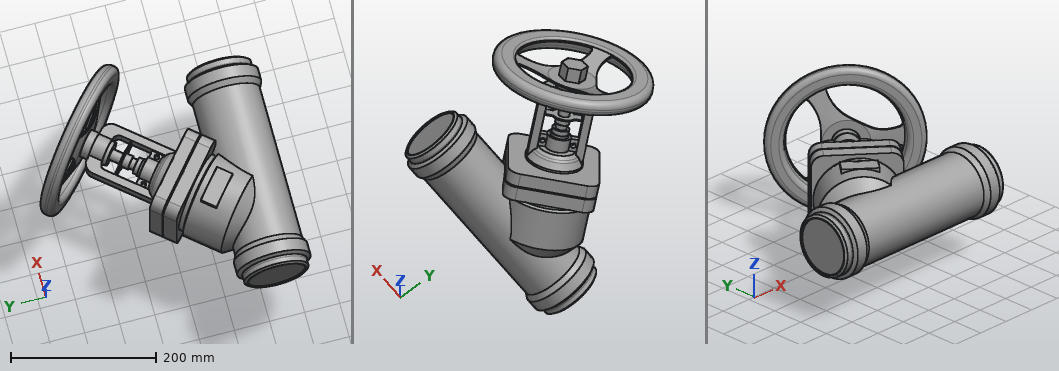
import cadquery as cq
import math


pipe_length = 310.0
inlet_distance = 82.0
pipe_radius = 47.9
collar_radius = 52.5
spigot_radius = 45.9
spigot_shoulder_radius = 46.5
weld_bevel_radius = 42.2
weld_bevel_length = 2.5
spigot_length = 10.0
shoulder_end = 12.5
collar_start = 16.0
collar_end = 33.6
collar_taper_end = 42.3
bore_radius = 41.0
bore_depth = 2.0

bonnet_angle = 50.0
housing_radius = 62.5
housing_bottom = 32.0
housing_cone_half_angle = 40.0
housing_top = 90.0
neck_radius = 57.0
neck_bottom = 92.0

flange_width = 128.0
flange_corner_radius = 17.0
lower_flange_bottom = 99.0
lower_flange_top = 119.0
upper_flange_bottom = 121.0
upper_flange_top = 140.0
gasket_radius = 55.0

pad_width = 53.0
pad_bottom = 56.0
pad_top = 80.0
pad_height = 63.3

dome_base_radius = 40.5
dome_base_top = 143.0
dome_shoulder_radius = 34.3
dome_shoulder_height = 153.0
dome_crown_radius = 31.5
dome_crown_height = 156.0
dome_top_radius = 26.5
dome_top = 160.0
packing_radius = 17.0
packing_top = 179.0
gland_flange_radius = 13.0
gland_flange_top = 183.0
gland_radius = 12.0
gland_top = 190.0
stem_radius = 8.0
stem_collar_radius = 10.0
stem_collar_bottom = 198.0
indicator_bottom = 208.5
indicator_top = 210.5
indicator_length = 51.0
indicator_width = 16.0
indicator_disc_radius = 17.0

yoke_width = 77.0
yoke_thickness = 20.0
yoke_top = 254.0
yoke_corner_radius = 15.0
window_width = 54.0
window_top = 234.0
window_corner_radius = 9.0
web_plate_thickness = 10.0
web_plate_top = 178.5
web_hole_diameter = 7.0
web_hole_offset = 21.7
web_hole_height = 168.7

bush_nose_radius = 17.6
bush_nose_bottom = 228.0
bush_bottom = 234.0
bush_radius = 19.6
bush_collar_radius = 20.2

rim_radius = 112.5
rim_inner_radius = 82.3
rim_bottom = 265.5
rim_top = 286.8
rim_lower_outer_round = 8.0
rim_upper_outer_round = 10.0
rim_lower_inner_round = 8.0
rim_lower_inner_radius = 85.2
rim_upper_inner_round = 4.0
wheel_hub_radius = 34.0
wheel_hub_bottom = 266.0
wheel_nut_diameter = 37.0
wheel_nut_top = 289.0
web_outer_radius = 88.0
web_outer_bottom = 282.0
web_thickness = 2.5
spoke_count = 3
spoke_waist_half_width = 12.8
spoke_edge_arc_radius = 61.0
opening_distance = 34.5
opening_corner_radius = 5.0


def disc(radius, bottom, top):
    return cq.Workplane("XY").workplane(offset=bottom).circle(radius).extrude(top - bottom)


def square_flange(bottom, top):
    plate = cq.Workplane("XY").workplane(offset=bottom).rect(flange_width, flange_width).extrude(top - bottom)
    return plate.edges("|Z").fillet(flange_corner_radius)


def upright_plate(width, thickness, bottom, top):
    plate = cq.Workplane("XY").box(width, thickness, top - bottom, centered=(True, True, False))
    return plate.translate((0, 0, bottom))


def pipe_body():
    stations = [
        (0, weld_bevel_radius),
        (weld_bevel_length, spigot_radius),
        (spigot_length, spigot_radius),
        (shoulder_end, spigot_shoulder_radius),
        (collar_start, collar_radius),
        (collar_end, collar_radius),
        (collar_taper_end, pipe_radius),
    ]
    left, right = -inlet_distance, pipe_length - inlet_distance
    outline = [(left + x, r) for x, r in stations] + [(right - x, r) for x, r in reversed(stations)]
    outline = [(left, 0)] + outline + [(right, 0)]
    body = cq.Workplane("XY").polyline(outline).close().revolve(360, (0, 0, 0), (1, 0, 0))
    for start in (left, right - bore_depth):
        recess = cq.Workplane("YZ").workplane(offset=start).circle(bore_radius).extrude(bore_depth)
        body = body.cut(recess)
    return body


def housing():
    cone_length = housing_radius / math.tan(math.radians(housing_cone_half_angle))
    profile = [
        (0, housing_bottom - cone_length),
        (housing_radius, housing_bottom),
        (housing_radius, housing_top),
        (neck_radius, neck_bottom),
        (neck_radius, lower_flange_bottom),
        (0, lower_flange_bottom),
    ]
    body = cq.Workplane("XZ").polyline(profile).close().revolve(360, (0, 0, 0), (0, 1, 0))
    pad = cq.Workplane("XY").box(pad_width, pad_height, pad_top - pad_bottom, centered=(True, False, False))
    pad = pad.translate((0, 0, pad_bottom))
    return body.union(pad)


def flanges():
    lower = square_flange(lower_flange_bottom, lower_flange_top)
    upper = square_flange(upper_flange_bottom, upper_flange_top)
    gasket = disc(gasket_radius, lower_flange_top, upper_flange_bottom)
    return lower.union(gasket).union(upper)


def bonnet_and_stem():
    profile = [
        (0, upper_flange_top),
        (dome_base_radius, upper_flange_top),
        (dome_base_radius, dome_base_top),
        (dome_shoulder_radius, dome_shoulder_height),
        (dome_crown_radius, dome_crown_height),
        (dome_top_radius, dome_top),
        (packing_radius, dome_top),
        (packing_radius, packing_top),
        (gland_flange_radius, packing_top),
        (gland_flange_radius, gland_flange_top),
        (gland_radius, gland_flange_top),
        (gland_radius, gland_top),
        (stem_radius, gland_top),
        (stem_radius, stem_collar_bottom),
        (stem_collar_radius, stem_collar_bottom),
        (stem_collar_radius, indicator_bottom),
        (stem_radius, indicator_bottom),
        (stem_radius, bush_nose_bottom),
        (bush_nose_radius, bush_nose_bottom),
        (bush_nose_radius, bush_bottom),
        (bush_radius, bush_bottom),
        (bush_radius, yoke_top),
        (bush_collar_radius, yoke_top),
        (bush_collar_radius, wheel_hub_bottom),
        (0, wheel_hub_bottom),
    ]
    turned = cq.Workplane("XZ").polyline(profile).close().revolve(360, (0, 0, 0), (0, 1, 0))
    indicator = upright_plate(indicator_length, indicator_width, indicator_bottom, indicator_top)
    indicator_disc = disc(indicator_disc_radius, indicator_bottom, indicator_top)
    return turned.union(indicator).union(indicator_disc)


def yoke():
    frame = upright_plate(yoke_width, yoke_thickness, upper_flange_top, yoke_top)
    frame = frame.edges("|Y and >Z").fillet(yoke_corner_radius)
    window = upright_plate(window_width, yoke_thickness, upper_flange_top, window_top)
    window = window.edges("|Y and >Z").fillet(window_corner_radius)
    web_plate = upright_plate(window_width, web_plate_thickness, upper_flange_top, web_plate_top)
    holes = (
        cq.Workplane("XZ")
        .pushPoints([(side * web_hole_offset, web_hole_height) for side in (-1, 1)])
        .circle(web_hole_diameter / 2)
        .extrude(web_plate_thickness, both=True)
    )
    return frame.cut(window).union(web_plate.cut(holes))


def wheel_rim():
    def round_middle(side_r, wall_radius, side_z, face_height, radius):
        inset = radius * (1 - math.sqrt(0.5))
        return (wall_radius - side_r * inset, face_height - side_z * inset)

    lower_outer = round_middle(1, rim_radius, -1, rim_bottom, rim_lower_outer_round)
    upper_outer = round_middle(1, rim_radius, 1, rim_top, rim_upper_outer_round)
    upper_inner = round_middle(-1, rim_inner_radius, 1, rim_top, rim_upper_inner_round)
    lower_inner = round_middle(-1, rim_lower_inner_radius, -1, rim_bottom, rim_lower_inner_round)
    flat_start = (rim_lower_inner_radius + rim_lower_inner_round, rim_bottom)

    section = (
        cq.Workplane("XZ")
        .moveTo(*flat_start)
        .lineTo(rim_radius - rim_lower_outer_round, rim_bottom)
        .threePointArc(lower_outer, (rim_radius, rim_bottom + rim_lower_outer_round))
        .lineTo(rim_radius, rim_top - rim_upper_outer_round)
        .threePointArc(upper_outer, (rim_radius - rim_upper_outer_round, rim_top))
        .lineTo(rim_inner_radius + rim_upper_inner_round, rim_top)
        .threePointArc(upper_inner, (rim_inner_radius, rim_top - rim_upper_inner_round))
        .lineTo(rim_lower_inner_radius, rim_bottom + rim_lower_inner_round)
        .threePointArc(lower_inner, flat_start)
        .close()
    )
    return section.revolve(360, (0, 0, 0), (0, 1, 0))


def wheel_spokes():
    profile = [
        (0, wheel_hub_bottom),
        (wheel_hub_radius, wheel_hub_bottom),
        (web_outer_radius, web_outer_bottom),
        (web_outer_radius, web_outer_bottom + web_thickness),
        (wheel_hub_radius, wheel_hub_bottom + web_thickness),
        (0, wheel_hub_bottom + web_thickness),
    ]
    web = cq.Workplane("XZ").polyline(profile).close().revolve(360, (0, 0, 0), (0, 1, 0))

    half_pitch = math.pi / spoke_count
    arc_center_side = spoke_waist_half_width + spoke_edge_arc_radius
    arc_center_distance = opening_distance + spoke_edge_arc_radius
    waist_radius = (arc_center_distance - arc_center_side * math.sin(half_pitch)) / math.cos(half_pitch)

    def edge_point(angle):
        along = waist_radius + spoke_edge_arc_radius * math.sin(angle)
        side = arc_center_side - spoke_edge_arc_radius * math.cos(angle)
        x = along * math.cos(half_pitch) + side * math.sin(half_pitch)
        y = side * math.cos(half_pitch) - along * math.sin(half_pitch)
        return (x, y)

    def mirrored(point):
        return (point[0], -point[1])

    tangent_angle = half_pitch - math.pi / 2
    outer_angle = math.asin((web_outer_radius - waist_radius) / spoke_edge_arc_radius)
    start = edge_point(tangent_angle)
    middle = edge_point((tangent_angle + outer_angle) / 2)
    end = edge_point(outer_angle)
    far = 2 * web_outer_radius
    opening = (
        cq.Workplane("XY")
        .moveTo(*start)
        .threePointArc(middle, end)
        .lineTo(far, end[1])
        .lineTo(far, -end[1])
        .lineTo(*mirrored(end))
        .threePointArc(mirrored(middle), mirrored(start))
        .close()
        .extrude(rim_top)
    )
    opening = opening.intersect(disc(rim_inner_radius, 0, rim_top))
    opening = opening.edges("|Z and (>Y or <Y)").fillet(opening_corner_radius)
    for index in range(spoke_count):
        web = web.cut(opening.rotate((0, 0, 0), (0, 0, 1), index * 360 / spoke_count))
    return web


def wheel_nut():
    nut = cq.Workplane("XY").workplane(offset=wheel_hub_bottom).polygon(6, wheel_nut_diameter)
    return nut.extrude(wheel_nut_top - wheel_hub_bottom)


def along_bonnet_axis(shape):
    tilt = math.radians(bonnet_angle)
    plane = cq.Plane(
        origin=(0, 0, 0),
        xDir=(-math.sin(tilt), math.cos(tilt), 0),
        normal=(math.cos(tilt), math.sin(tilt), 0),
    )
    return cq.Workplane("XY").newObject([shape.val().moved(cq.Location(plane))])


topworks = housing()
for assembly in (flanges(), yoke(), bonnet_and_stem(), wheel_spokes(), wheel_nut(), wheel_rim()):
    topworks = topworks.union(assembly)

result = pipe_body().union(along_bonnet_axis(topworks))